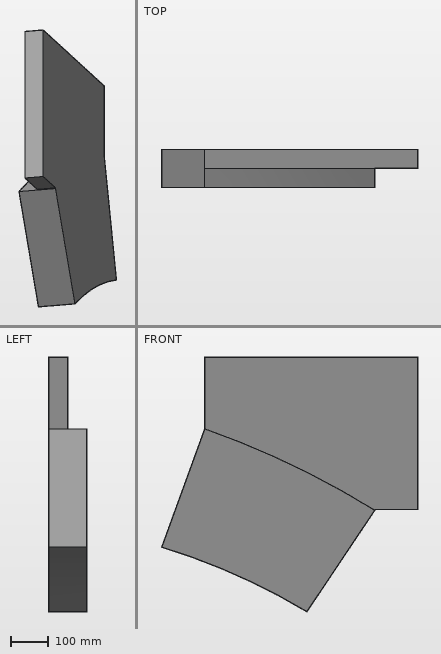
import cadquery as cq
import math

width = 684.0
height = 680.0
depth = 102.0

plate_thickness = depth / 2
plate_left = 115.0
plate_bottom = 273.0

upper_left = (plate_left, 488.0)
upper_right = (569.0, 271.0)
lower_right = (388.0, 0.0)
lower_left = (0.0, 172.0)
upper_bow = 14.0
lower_bow = 13.0


def bow_point(left, right, bow):
    """Middle of the arc that rises by bow from the chord between two corners."""
    run = right[0] - left[0]
    rise = right[1] - left[1]
    chord = math.hypot(run, rise)
    middle_x = (left[0] + right[0]) / 2 - bow * rise / chord
    middle_z = (left[1] + right[1]) / 2 + bow * run / chord
    return (middle_x, middle_z)


def make_block():
    """Full-depth sector block, extruded backwards from the front face."""
    outline = (
        cq.Workplane("XZ")
        .moveTo(*upper_left)
        .threePointArc(bow_point(upper_left, upper_right, upper_bow), upper_right)
        .lineTo(*lower_right)
        .threePointArc(bow_point(lower_left, lower_right, lower_bow), lower_left)
        .close()
    )
    return outline.extrude(-depth)


def make_plate():
    """Rear plate whose lower left edge follows the block's upper arc."""
    outline = (
        cq.Workplane("XZ", origin=(0, depth - plate_thickness, 0))
        .moveTo(plate_left, height)
        .lineTo(width, height)
        .lineTo(width, plate_bottom)
        .lineTo(upper_right[0], plate_bottom)
        .lineTo(*upper_right)
        .threePointArc(bow_point(upper_left, upper_right, upper_bow), upper_left)
        .close()
    )
    return outline.extrude(-plate_thickness)


result = make_block().union(make_plate())